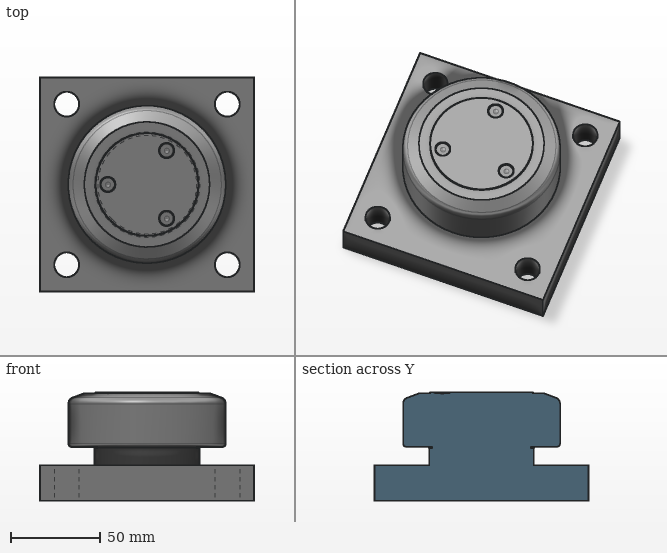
import cadquery as cq
import math

plate_side = 120.0
plate_thickness = 20.0
mount_hole_diameter = 13.8
mount_hole_pitch = 90.0

neck_diameter = 59.0
neck_top = 29.6
spacer_diameter = 55.3
head_bottom = 30.1

head_diameter = 88.3
bottom_rounding = 2.0
head_top = 60.4
flat_top_diameter = 70.2
cone_base_diameter = 83.2
cone_base_z = 58.0
rim_top_z = 54.4

total_height = 61.0
cover_diameter = 57.8
cover_chamfer = 0.2

screw_count = 3
screw_circle_radius = 22.0
first_screw_angle = 60.0
recess_diameter = 8.6
recess_floor_diameter = 7.8
recess_depth = 0.5
dimple_diameter = 2.9
dimple_depth = 0.4


def make_plate():
    plate = cq.Workplane("XY").box(plate_side, plate_side, plate_thickness, centered=(True, True, False))
    return (
        plate.faces(">Z").workplane()
        .rect(mount_hole_pitch, mount_hole_pitch, forConstruction=True)
        .vertices().hole(mount_hole_diameter)
    )


def make_cylinder(diameter, bottom, top):
    return cq.Workplane("XY").workplane(offset=bottom).circle(diameter / 2).extrude(top - bottom)


def make_head():
    """Revolve the half section; the top rounding is tangent to the vertical rim."""
    radius = head_diameter / 2
    cone_radius = cone_base_diameter / 2
    inset = radius - cone_radius
    rise = cone_base_z - rim_top_z
    arc_radius = (inset**2 + rise**2) / (2 * inset)
    half_sweep = math.asin(rise / arc_radius) / 2
    arc_middle = (
        radius - arc_radius * (1 - math.cos(half_sweep)),
        rim_top_z + arc_radius * math.sin(half_sweep),
    )
    profile = (
        cq.Workplane("XZ")
        .moveTo(0, head_bottom)
        .lineTo(radius - bottom_rounding, head_bottom)
        .radiusArc((radius, head_bottom + bottom_rounding), -bottom_rounding)
        .lineTo(radius, rim_top_z)
        .threePointArc(arc_middle, (cone_radius, cone_base_z))
        .lineTo(flat_top_diameter / 2, head_top)
        .lineTo(0, head_top)
        .close()
    )
    return profile.revolve(360, (0, 0, 0), (0, 1, 0))


def make_cover():
    cover = make_cylinder(cover_diameter, head_bottom, total_height)
    return cover.faces(">Z").edges().chamfer(cover_chamfer)


def make_screw_cuts():
    """Shallow tapered recesses, each with a small conical dimple in its floor."""
    recess_floor = total_height - recess_depth
    profile = (
        cq.Workplane("XZ")
        .moveTo(0, total_height)
        .lineTo(recess_diameter / 2, total_height)
        .lineTo(recess_floor_diameter / 2, recess_floor)
        .lineTo(dimple_diameter / 2, recess_floor)
        .lineTo(0, recess_floor - dimple_depth)
        .close()
    )
    cut = profile.revolve(360, (0, 0, 0), (0, 1, 0))
    cuts = cq.Workplane("XY")
    for index in range(screw_count):
        angle = math.radians(first_screw_angle + index * 360 / screw_count)
        x = screw_circle_radius * math.cos(angle)
        y = screw_circle_radius * math.sin(angle)
        cuts = cuts.add(cut.translate((x, y, 0)))
    return cuts.combine()


neck = make_cylinder(neck_diameter, plate_thickness, neck_top)
spacer = make_cylinder(spacer_diameter, neck_top, head_bottom)
body = make_plate().union(neck).union(spacer).union(make_head()).union(make_cover())
result = body.cut(make_screw_cuts())